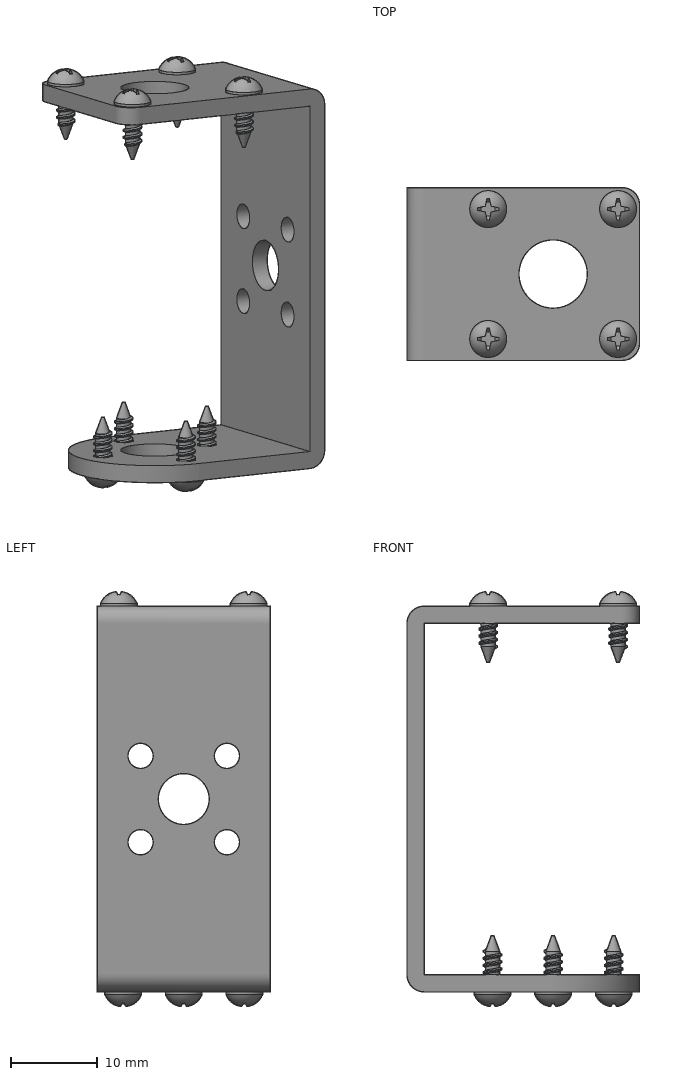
import cadquery as cq
import math

BRACKET_LENGTH = 26.9
BRACKET_WIDTH = 20.0
BRACKET_HEIGHT = 44.57
SHEET = 2.0
HALF_WIDTH = BRACKET_WIDTH / 2
BORE_X = BRACKET_LENGTH - HALF_WIDTH
FLANGE_BORE_DIAMETER = 7.85
SCREW_HOLE_DIAMETER = 2.2
WALL_BORE_DIAMETER = 5.85
WALL_HOLE_DIAMETER = 2.88
WALL_HOLE_SPACING = 9.95

HEAD_DIAMETER = 4.25
HEAD_RIM = 0.3
HEAD_HEIGHT = 1.73
SHANK_LENGTH = 6.5
POINT_LENGTH = 1.8
TIP_DIAMETER = 0.35
CORE_DIAMETER = 1.7
THREAD_DIAMETER = 2.15
THREAD_PITCH = 0.8
THREAD_ROOT_WIDTH = 0.58
THREAD_CREST_WIDTH = 0.15
THREAD_OVERLAP = 0.1
RECESS_SPAN = 2.5
RECESS_ARM_WIDTH = 0.3
RECESS_CORNER = 0.35
RECESS_DEPTH = 0.95
RECESS_FLOOR_DIAMETER = 1.65
RECESS_MOUTH_DIAMETER = 3.05

TOP_SCREW_SPACING = 15.0
BOTTOM_SCREW_RADIUS = 7.0
TOP_SCREWS = [
    (BORE_X + sx * TOP_SCREW_SPACING / 2, sy * TOP_SCREW_SPACING / 2)
    for sx in (-1, 1)
    for sy in (-1, 1)
]
BOTTOM_SCREWS = [
    (BORE_X + dx * BOTTOM_SCREW_RADIUS, dy * BOTTOM_SCREW_RADIUS)
    for dx, dy in ((1, 0), (0, 1), (-1, 0), (0, -1))
]


def flange_cutter(screw_positions, bottom):
    """Bore and screw holes through the flange whose underside is at Z = bottom."""
    plane = cq.Workplane("XY").workplane(offset=bottom)
    bore = plane.center(BORE_X, 0).circle(FLANGE_BORE_DIAMETER / 2).extrude(SHEET)
    holes = plane.pushPoints(screw_positions).circle(SCREW_HOLE_DIAMETER / 2).extrude(SHEET)
    return bore.union(holes)


def wall_cutter():
    """Bore and four holes through the back wall."""
    plane = cq.Workplane("YZ").center(0, BRACKET_HEIGHT / 2)
    bore = plane.circle(WALL_BORE_DIAMETER / 2).extrude(SHEET)
    pattern = plane.rect(WALL_HOLE_SPACING, WALL_HOLE_SPACING, forConstruction=True).vertices()
    return bore.union(pattern.circle(WALL_HOLE_DIAMETER / 2).extrude(SHEET))


def make_bracket():
    outer = (
        cq.Workplane("XY")
        .box(BRACKET_LENGTH, BRACKET_WIDTH, BRACKET_HEIGHT, centered=(False, True, False))
        .edges("|Y and <X")
        .fillet(SHEET)
    )
    gap = (
        cq.Workplane("XY")
        .box(BRACKET_LENGTH, BRACKET_WIDTH, BRACKET_HEIGHT - 2 * SHEET, centered=(False, True, False))
        .translate((SHEET, 0, SHEET))
    )
    bracket = outer.cut(gap)

    bracket = bracket.edges("|Z and >X").edges(">Z").fillet(SHEET)
    end_block = (
        cq.Workplane("XY")
        .box(HALF_WIDTH, BRACKET_WIDTH, SHEET, centered=(False, True, False))
        .translate((BORE_X, 0, 0))
    )
    round_end = cq.Workplane("XY").center(BORE_X, 0).circle(HALF_WIDTH).extrude(SHEET)
    bracket = bracket.cut(end_block.cut(round_end))

    bracket = bracket.cut(flange_cutter(TOP_SCREWS, BRACKET_HEIGHT - SHEET))
    bracket = bracket.cut(flange_cutter(BOTTOM_SCREWS, 0))
    return bracket.cut(wall_cutter())


def screw_blank():
    """Domed head, core and conical point, turned as one profile."""
    rim_radius = HEAD_DIAMETER / 2
    dome_height = HEAD_HEIGHT - HEAD_RIM
    dome_radius = (rim_radius**2 + dome_height**2) / (2 * dome_height)
    dome_mid_radius = rim_radius / 2
    dome_mid_height = HEAD_HEIGHT - dome_radius + math.sqrt(dome_radius**2 - dome_mid_radius**2)
    return (
        cq.Workplane("XZ")
        .moveTo(0, -SHANK_LENGTH)
        .lineTo(TIP_DIAMETER / 2, -SHANK_LENGTH)
        .lineTo(CORE_DIAMETER / 2, POINT_LENGTH - SHANK_LENGTH)
        .lineTo(CORE_DIAMETER / 2, 0)
        .lineTo(rim_radius, 0)
        .lineTo(rim_radius, HEAD_RIM)
        .threePointArc((dome_mid_radius, dome_mid_height), (0, HEAD_HEIGHT))
        .close()
        .revolve(360, (0, 0), (0, 1))
    )


def screw_thread():
    """Right-handed ridge from the base of the point up to the head."""
    start = POINT_LENGTH - SHANK_LENGTH
    root_radius = CORE_DIAMETER / 2 - THREAD_OVERLAP
    helix = cq.Wire.makeHelix(THREAD_PITCH, -start, root_radius, center=cq.Vector(0, 0, start))
    return (
        cq.Workplane("XZ")
        .moveTo(root_radius, start - THREAD_ROOT_WIDTH / 2)
        .lineTo(THREAD_DIAMETER / 2, start - THREAD_CREST_WIDTH / 2)
        .lineTo(THREAD_DIAMETER / 2, start + THREAD_CREST_WIDTH / 2)
        .lineTo(root_radius, start + THREAD_ROOT_WIDTH / 2)
        .close()
        .sweep(cq.Workplane(helix), isFrenet=True)
    )


def cross_recess():
    """Cross with arms that slope inwards to a small flat floor."""
    tip = RECESS_SPAN / 2
    side = RECESS_ARM_WIDTH / 2
    arm = ((tip, -side), (tip, side), (RECESS_CORNER, RECESS_CORNER))
    outline = []
    for cos, sin in ((1, 0), (0, 1), (-1, 0), (0, -1)):
        outline += [(x * cos - y * sin, x * sin + y * cos) for x, y in arm]
    floor = cq.Workplane("XY").workplane(offset=HEAD_HEIGHT - RECESS_DEPTH)
    cross = floor.polyline(outline).close().extrude(RECESS_DEPTH)
    funnel = (
        floor.circle(RECESS_FLOOR_DIAMETER / 2)
        .workplane(offset=RECESS_DEPTH)
        .circle(RECESS_MOUTH_DIAMETER / 2)
        .loft()
    )
    return cross.intersect(funnel)


def make_screw():
    return screw_blank().union(screw_thread()).cut(cross_recess())


bracket = make_bracket()
screw = make_screw()
upturned_screw = screw.rotate((0, 0, 0), (0, 1, 0), 180)

screws = []
for x, y in TOP_SCREWS:
    screws.append(screw.translate((x, y, BRACKET_HEIGHT)).solids().val())
for x, y in BOTTOM_SCREWS:
    screws.append(upturned_screw.translate((x, y, 0)).solids().val())

result = cq.Compound.makeCompound([bracket.solids().val(), *screws])